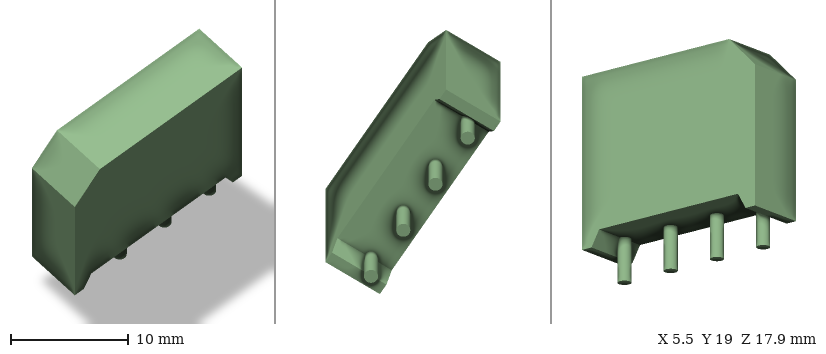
import cadquery as cq

thickness = 5.5
length = 19.0
total_height = 17.95
corner_chamfer = 2.85

foot_tip = 1.05
foot_root = 1.88
recess_height = 1.45

pin_diameter = 1.2
pin_drop = 2.47
pin_pitch = 5.07
pin_count = 4
pin_offset = 0.65

body_height = total_height - pin_drop
half_length = length / 2


def make_body():
    """Side profile in YZ, feet standing on Z = 0, extruded along X."""
    profile = [
        (-half_length, 0),
        (-half_length + foot_tip, 0),
        (-half_length + foot_root, recess_height),
        (half_length - foot_root, recess_height),
        (half_length - foot_tip, 0),
        (half_length, 0),
        (half_length, body_height),
        (-half_length + corner_chamfer, body_height),
        (-half_length, body_height - corner_chamfer),
    ]
    return cq.Workplane("YZ").polyline(profile).close().extrude(thickness / 2, both=True)


def make_pins():
    """Row of round pins along Y, running from the recess roof to below the feet."""
    first_y = -pin_pitch * (pin_count - 1) / 2
    centres = [(pin_offset, first_y + i * pin_pitch) for i in range(pin_count)]
    return (
        cq.Workplane("XY")
        .workplane(offset=-pin_drop)
        .pushPoints(centres)
        .circle(pin_diameter / 2)
        .extrude(pin_drop + recess_height)
    )


result = make_body().union(make_pins())